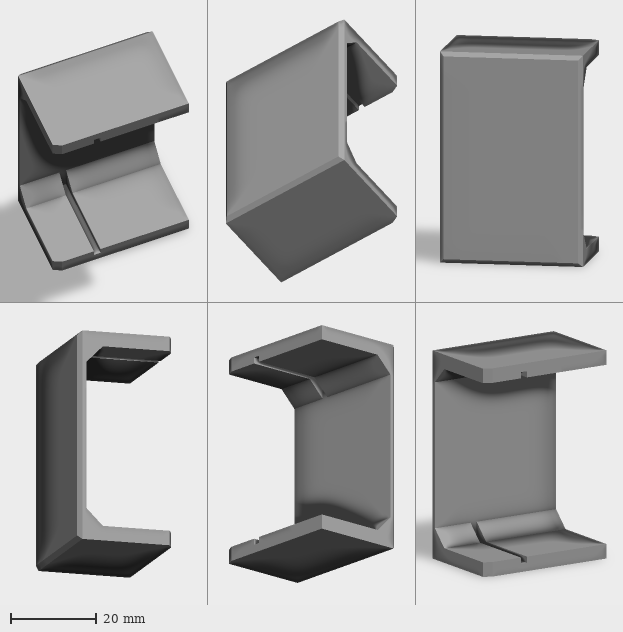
import cadquery as cq

length_x = 23.4
width_y = 34.0
height_z = 50.2

back_thickness = 2.0
flange_thickness = 3.5
inner_gusset = 4.0
outer_chamfer = 1.0

corner_clip_x = 1.0
corner_clip_y = 2.0

groove_width = 1.7
groove_depth = 1.5
groove_front_y = 10.0


def make_channel():
    """Back plate with two flanges, bevelled around its outer face and gusseted inside."""
    block = cq.Workplane("XY").box(length_x, width_y, height_z, centered=False)
    block = block.faces("<X").edges().chamfer(outer_chamfer)
    opening = (
        cq.Workplane("XY")
        .box(length_x, width_y, height_z - 2 * flange_thickness, centered=False)
        .translate((back_thickness, 0, flange_thickness))
        .faces("<X")
        .edges("|Y")
        .chamfer(inner_gusset)
    )
    return block.cut(opening)


def make_corner_clip():
    """Triangular prism that clips the front corner of both flanges."""
    return (
        cq.Workplane("XY")
        .moveTo(length_x - corner_clip_x, 0)
        .lineTo(length_x, 0)
        .lineTo(length_x, corner_clip_y)
        .close()
        .extrude(height_z)
    )


def make_panel_space():
    """Upright slab that cuts a groove across both flanges and their gussets, up to the back plate."""
    bottom_z = flange_thickness - groove_depth
    return (
        cq.Workplane("XY")
        .box(length_x - back_thickness, groove_width, height_z - 2 * bottom_z, centered=False)
        .translate((back_thickness, groove_front_y, bottom_z))
    )


result = make_channel().cut(make_corner_clip()).cut(make_panel_space())